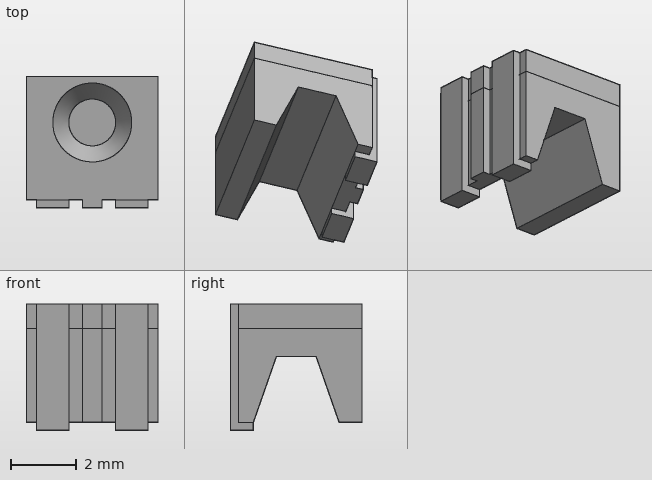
import cadquery as cq

width = 4.0
body_depth = 3.75
body_height = 3.6
cover_height = 0.74
lead_thickness = 0.25
overall_depth = body_depth + lead_thickness
base_height = body_height - cover_height

channel_height = 2.0
channel_bottom_width = 2.6
channel_top_width = 1.2
channel_center_y = overall_depth / 2

cup_top_radius = 1.2
cup_floor_radius = 0.71
cup_depth = 0.7
cup_center_x = width / 2
cup_center_y = overall_depth - 1.4

tab_width = 0.6
lead_width = 1.0
lead_spacing = 2.4
foot_length = channel_center_y - channel_bottom_width / 2

base_bottom = lead_thickness
cover_bottom = base_bottom + base_height
cover_top = base_bottom + body_height


def box(x_start, y_start, z_start, x_size, y_size, z_size):
    """Box placed by its lowest corner."""
    return cq.Workplane("XY").box(x_size, y_size, z_size, centered=False).translate(
        (x_start, y_start, z_start)
    )


def make_tabbed_block(z_bottom, height):
    """Rectangular layer with the central tab on its front face."""
    block = box(0, lead_thickness, z_bottom, width, body_depth, height)
    tab = box((width - tab_width) / 2, 0, z_bottom, tab_width, lead_thickness, height)
    return block.union(tab)


def make_base():
    """Lower layer with the tapered channel cut through it."""
    bottom_half = channel_bottom_width / 2
    top_half = channel_top_width / 2
    channel_top = base_bottom + channel_height
    channel = (
        cq.Workplane("YZ")
        .moveTo(channel_center_y - bottom_half, base_bottom)
        .lineTo(channel_center_y - top_half, channel_top)
        .lineTo(channel_center_y + top_half, channel_top)
        .lineTo(channel_center_y + bottom_half, base_bottom)
        .close()
        .extrude(width)
    )
    return make_tabbed_block(base_bottom, base_height).cut(channel)


def make_cover():
    """Upper layer with the conical cup opening upwards."""
    cup = cq.Solid.makeCone(
        cup_floor_radius,
        cup_top_radius,
        cup_depth,
        pnt=cq.Vector(cup_center_x, cup_center_y, cover_top - cup_depth),
    )
    return make_tabbed_block(cover_bottom, cover_height).cut(cq.Workplane(cup))


def make_lead(center_x):
    """L-shaped lead: a strip up the front face and a foot under the base."""
    x_start = center_x - lead_width / 2
    strip = box(x_start, 0, 0, lead_width, lead_thickness, cover_top)
    foot = box(x_start, 0, 0, lead_width, foot_length, lead_thickness)
    return strip.union(foot)


base = make_base()
cover = make_cover()
leads = [make_lead(width / 2 + side * lead_spacing / 2) for side in (-1, 1)]

result = cq.Compound.makeCompound([base.val(), cover.val(), *[lead.val() for lead in leads]])